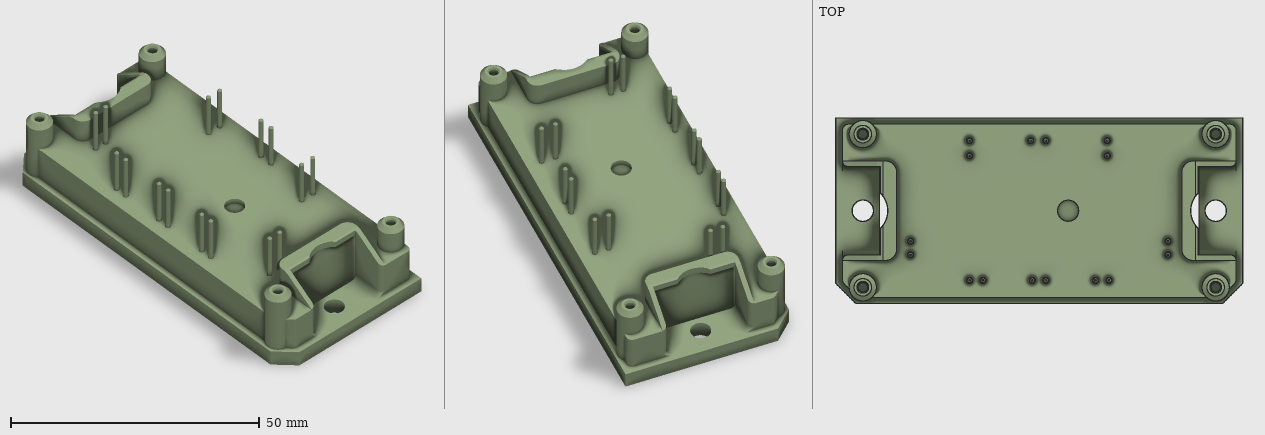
import cadquery as cq
import math

BASE_LENGTH = 82.0
BASE_WIDTH = 37.4
BASE_HEIGHT = 3.5
BASE_CHAMFER = 4.1

HOUSING_LENGTH = 79.2
HOUSING_WIDTH = 34.85
HOUSING_TOP = 11.2
HOUSING_CHAMFER = 3.0
HOUSING_CORNER_RADIUS = 1.2

FIXING_X = 35.5
POST_Y = 15.4
POST_DIAMETER = 5.5
POST_TOP = 17.1
POST_CHAMFER = 1.0
POST_HOLE_DIAMETER = 1.9
POST_COUNTERSINK_DIAMETER = 2.4
POST_COUNTERSINK_DEPTH = 0.4
POST_HOLE_DEPTH = 6.6
SCREW_HOLE_DIAMETER = 4.3
SCREW_HEAD_RADIUS = 5.0

SURROUND_TOP = 16.6
SURROUND_WIDTH = 20.0
SURROUND_INNER_X = 28.7
SURROUND_CORNER_RADIUS = 2.2
RAMP_FOOT_Z = 11.4
RAMP_KNEE_X = 32.55
RAMP_KNEE_Z = 16.15
RAMP_HEAD_X = 31.5

RECESS_WIDTH = 17.9
RECESS_CORNER_RADIUS = 1.0
FLOOR_FILLET = 1.1
LIP_X = 32.0
LIP_UNDERSIDE_Z = 15.1
FLOOR_EDGE_X = 32.15
SLOT_WALL_X = 30.3
SLOT_WIDTH = 17.55
SLOT_CORNER_RADIUS = 1.1

TOP_HOLE_X = 5.8
TOP_HOLE_DIAMETER = 4.3
TOP_HOLE_DEPTH = 1.3

PIN_DIAMETER = 1.0
PIN_TOP = 21.2
PIN_CHAMFER = 0.3
PIN_HOLE_DIAMETER = 1.2
PIN_HOLE_DEPTH = 0.25
FRONT_PIN_Y = -14.0
BACK_PIN_Y = 14.1
INNER_BACK_PIN_Y = 11.1
SIDE_PIN_X = 25.9
PIN_POSITIONS = (
    [(x, FRONT_PIN_Y) for x in (-14.0, -11.3, -1.4, 1.3, 11.3, 14.0)]
    + [(x, BACK_PIN_Y) for x in (-14.0, -1.7, 1.3, 13.7)]
    + [(x, INNER_BACK_PIN_Y) for x in (-14.0, 13.7)]
    + [(x, y) for x in (-SIDE_PIN_X, SIDE_PIN_X) for y in (-6.15, -8.85)]
)

HALF_LENGTH = HOUSING_LENGTH / 2
HALF_WIDTH = HOUSING_WIDTH / 2
HALF_RECESS = RECESS_WIDTH / 2


def box(x_range, y_range, z_range):
    """Box spanning the given (low, high) ranges."""
    sizes = [high - low for low, high in (x_range, y_range, z_range)]
    corner = (x_range[0], y_range[0], z_range[0])
    return cq.Workplane("XY").box(*sizes, centered=False).translate(corner)


def cylinder(x, y, diameter, bottom, top):
    """Upright cylinder between two heights."""
    return cq.Workplane("XY", origin=(x, y, bottom)).circle(diameter / 2).extrude(top - bottom)


def both_ends(left_shape):
    """A left-end shape joined with its mirror image at the right end."""
    return left_shape.union(left_shape.mirror("YZ"))


def base_plate():
    plate = cq.Workplane("XY").box(BASE_LENGTH, BASE_WIDTH, BASE_HEIGHT, centered=(True, True, False))
    return plate.edges("|Z and <Y").chamfer(BASE_CHAMFER)


def housing():
    """Block with rounded back corners and chamfered front corners blended into the ends."""
    block = box((-HALF_LENGTH, HALF_LENGTH), (-HALF_WIDTH, HALF_WIDTH), (BASE_HEIGHT, HOUSING_TOP))
    block = block.edges("|Z and >Y").fillet(HOUSING_CORNER_RADIUS)
    block = block.edges("|Z and <Y").chamfer(HOUSING_CHAMFER)
    for end in ("<X", ">X"):
        block = block.faces(end).edges("|Z and <Y").fillet(HOUSING_CORNER_RADIUS)
    return block


def surround():
    """Left-end wall with sloping cheeks that surrounds the screw recess."""
    profile = [
        (-HALF_LENGTH, BASE_HEIGHT),
        (-HALF_LENGTH, RAMP_FOOT_Z),
        (-RAMP_KNEE_X, RAMP_KNEE_Z),
        (-RAMP_HEAD_X, SURROUND_TOP),
        (-SURROUND_INNER_X, SURROUND_TOP),
        (-SURROUND_INNER_X, BASE_HEIGHT),
    ]
    wall = cq.Workplane("XZ").polyline(profile).close().extrude(SURROUND_WIDTH / 2, both=True)
    return wall.edges("|Z and >X").fillet(SURROUND_CORNER_RADIUS)


def recess():
    """Left-end opening above the base, flared by a round at each outer corner."""
    opening = box(
        (-HALF_LENGTH, -LIP_X), (-HALF_RECESS, HALF_RECESS), (BASE_HEIGHT, SURROUND_TOP)
    )
    for side in (-1, 1):
        center_x = RECESS_CORNER_RADIUS - HALF_LENGTH
        center_y = side * (HALF_RECESS + RECESS_CORNER_RADIUS)
        y_range = sorted((side * HALF_RECESS, center_y))
        flare = box((-HALF_LENGTH, center_x), y_range, (BASE_HEIGHT, SURROUND_TOP))
        flare = flare.cut(cylinder(center_x, center_y, 2 * RECESS_CORNER_RADIUS, BASE_HEIGHT, SURROUND_TOP))
        opening = opening.union(flare)
    return opening


def slot():
    """Left-end slot through the base, running up to the underside of the lip."""
    gap = box(
        (-FLOOR_EDGE_X, -SLOT_WALL_X), (-SLOT_WIDTH / 2, SLOT_WIDTH / 2), (0, LIP_UNDERSIDE_Z)
    )
    return gap.edges("|Z and >X").fillet(SLOT_CORNER_RADIUS)


def floor_fillets():
    """Concave fillets along both side walls of the left recess, each curling round its outer corner."""
    corner_x = RECESS_CORNER_RADIUS - HALF_LENGTH
    corner_y = HALF_RECESS + RECESS_CORNER_RADIUS
    wall_distance = RECESS_CORNER_RADIUS
    toe_distance = wall_distance + FLOOR_FILLET
    arc_inset = FLOOR_FILLET * (1 - math.sqrt(0.5))

    def section():
        """Section through the fillet, measured outwards from the axis of the rounded corner."""
        plane = cq.Plane(origin=(corner_x, corner_y, BASE_HEIGHT), xDir=(0, -1, 0), normal=(-1, 0, 0))
        outline = cq.Workplane(plane).moveTo(wall_distance, 0).lineTo(toe_distance, 0)
        outline = outline.threePointArc(
            (wall_distance + arc_inset, arc_inset), (wall_distance, FLOOR_FILLET)
        )
        return outline.close()

    straight = section().extrude(corner_x + FLOOR_EDGE_X)
    curl_limits = box(
        (-HALF_LENGTH, corner_x),
        (corner_y - toe_distance, corner_y),
        (BASE_HEIGHT, BASE_HEIGHT + FLOOR_FILLET),
    )
    curl = section().revolve(360, (0, 0), (0, 1)).intersect(curl_limits)
    fillet = straight.union(curl)
    return fillet.union(fillet.mirror("XZ"))


def post(x, y):
    """Chamfered round post with a countersunk blind screw hole in its top."""
    body = cylinder(x, y, POST_DIAMETER, BASE_HEIGHT, POST_TOP).faces(">Z").chamfer(POST_CHAMFER)
    hole = cylinder(x, y, POST_HOLE_DIAMETER, POST_TOP - POST_HOLE_DEPTH, POST_TOP)
    countersink = (
        cq.Workplane("XY", origin=(x, y, POST_TOP))
        .circle(POST_COUNTERSINK_DIAMETER / 2)
        .workplane(offset=-POST_COUNTERSINK_DEPTH)
        .circle(POST_HOLE_DIAMETER / 2)
        .loft()
    )
    return body.cut(hole).cut(countersink)


def pin(x, y):
    return cylinder(x, y, PIN_DIAMETER, BASE_HEIGHT, PIN_TOP).faces(">Z").chamfer(PIN_CHAMFER)


result = base_plate().union(housing()).union(both_ends(surround()))

result = result.cut(both_ends(recess()))
result = result.union(both_ends(floor_fillets()))
result = result.cut(both_ends(slot()))
result = result.cut(both_ends(cylinder(-FIXING_X, 0, 2 * SCREW_HEAD_RADIUS, BASE_HEIGHT, SURROUND_TOP)))
result = result.cut(both_ends(cylinder(-FIXING_X, 0, SCREW_HOLE_DIAMETER, 0, BASE_HEIGHT)))

result = result.cut(
    cylinder(TOP_HOLE_X, 0, TOP_HOLE_DIAMETER, HOUSING_TOP - TOP_HOLE_DEPTH, HOUSING_TOP)
)

for post_y in (-POST_Y, POST_Y):
    result = result.union(both_ends(post(-FIXING_X, post_y)))

for pin_x, pin_y in PIN_POSITIONS:
    result = result.cut(cylinder(pin_x, pin_y, PIN_HOLE_DIAMETER, HOUSING_TOP - PIN_HOLE_DEPTH, HOUSING_TOP))
    result = result.union(pin(pin_x, pin_y))